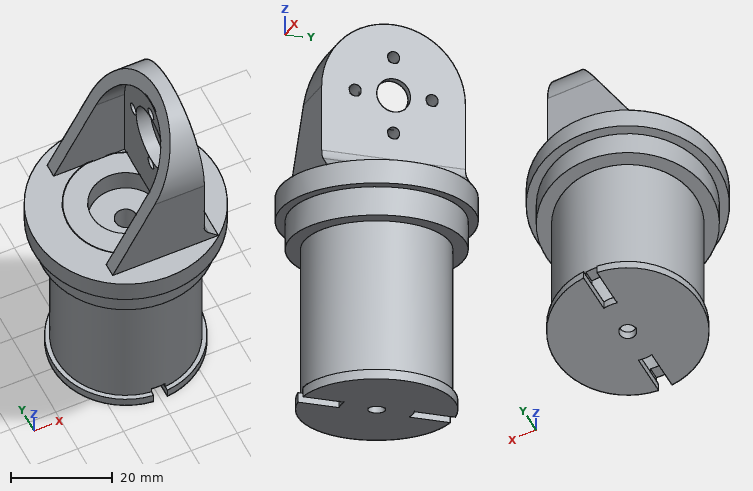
import cadquery as cq
import math

total_height = 78.0
cap_thickness = 2.0
cap_diameter = 32.0
tube_diameter = 30.0
bore_diameter = 25.0
flange_diameter = 40.0
flange_thickness = 5.0
collar_diameter = 36.0
collar_height = 6.0

bracket_height = 33.0
bracket_wall = 3.0
bracket_radius = tube_diameter / 2
bracket_front_x = -10.0
bracket_tip_x = 6.9
bracket_back_x = 10.0
plate_thickness = 4.5
heel_size = 3.05
heel_fillet_radius = 3.0

shaft_hole_diameter = 7.0
recess_diameter = 13.5
recess_depth = 3.0
screw_hole_diameter = 2.5
screw_circle_radius = 8.0
screw_count = 4

insert_diameter = 24.8
insert_height = flange_thickness + collar_height
pocket_diameter = 15.0
pocket_depth = 5.0
insert_hole_diameter = 4.5

cap_hole_diameter = 3.5
cap_hub_diameter = 15.0
slot_width = 3.0
slot_top = 3.0

flange_top = total_height - bracket_height
collar_top = flange_top - flange_thickness
collar_bottom = collar_top - collar_height
shaft_z = total_height - bracket_radius
plate_front_x = bracket_back_x - plate_thickness


def cylinder(diameter, bottom, height):
    """Upright cylinder on the Z axis."""
    return cq.Workplane("XY").workplane(offset=bottom).circle(diameter / 2).extrude(height)


def arch(radius, start_x, end_x):
    """Round-topped block along X, standing on the flange and centred on the shaft axis."""
    return (
        cq.Workplane("YZ").workplane(offset=start_x)
        .moveTo(-radius, flange_top)
        .lineTo(-radius, shaft_z)
        .threePointArc((0, shaft_z + radius), (radius, shaft_z))
        .lineTo(radius, flange_top)
        .close()
        .extrude(end_x - start_x)
    )


def shaft_side_hole(diameter, y, z, start_x, end_x):
    """Cylinder along X used to cut the back plate."""
    return (
        cq.Workplane("YZ").workplane(offset=start_x)
        .center(y, z).circle(diameter / 2).extrude(end_x - start_x)
    )


def key_slot():
    """Bar along Y, open at the bottom, that cuts the key slots on both sides."""
    return cq.Workplane("XY").box(
        slot_width, 2 * cap_diameter, slot_top, centered=(True, True, False)
    )


def make_bracket():
    heel_x = bracket_back_x + heel_size
    side_profile = (
        cq.Workplane("XZ")
        .moveTo(bracket_front_x, flange_top)
        .lineTo(bracket_tip_x, total_height)
        .lineTo(bracket_back_x, total_height)
        .lineTo(bracket_back_x, flange_top + heel_size)
        .lineTo(heel_x, flange_top)
        .close()
        .extrude(bracket_radius, both=True)
    )
    heel_corner = cq.selectors.NearestToPointSelector((bracket_back_x, 0, flange_top + heel_size))
    side_profile = side_profile.edges("|Y").edges(heel_corner).fillet(heel_fillet_radius)
    bracket = arch(bracket_radius, bracket_front_x, heel_x).intersect(side_profile)
    bracket = bracket.cut(arch(bracket_radius - bracket_wall, bracket_front_x, plate_front_x))

    bracket = bracket.cut(
        shaft_side_hole(shaft_hole_diameter, 0, shaft_z, plate_front_x, bracket_back_x)
    )
    bracket = bracket.cut(
        shaft_side_hole(recess_diameter, 0, shaft_z, plate_front_x, plate_front_x + recess_depth)
    )
    for index in range(screw_count):
        angle = 2 * math.pi * index / screw_count
        y = screw_circle_radius * math.cos(angle)
        z = shaft_z + screw_circle_radius * math.sin(angle)
        bracket = bracket.cut(
            shaft_side_hole(screw_hole_diameter, y, z, plate_front_x, bracket_back_x)
        )
    return bracket


def make_housing():
    """Slotted tube with collar, flange and bracket."""
    tube = cylinder(tube_diameter, cap_thickness, collar_bottom - cap_thickness)
    collar = cylinder(collar_diameter, collar_bottom, collar_height)
    flange = cylinder(flange_diameter, collar_top, flange_thickness)
    bore = cylinder(bore_diameter, cap_thickness, flange_top - cap_thickness)
    body = tube.union(collar).union(flange).cut(bore).cut(key_slot())
    return body.union(make_bracket())


def make_insert():
    """Round plug, flush with the flange, with a pocket and a central hole."""
    bottom = flange_top - insert_height
    plug = cylinder(insert_diameter, bottom, insert_height)
    pocket = cylinder(pocket_diameter, flange_top - pocket_depth, pocket_depth)
    hole = cylinder(insert_hole_diameter, bottom, insert_height)
    return plug.cut(pocket).cut(hole)


def make_cap():
    """Bottom disc whose key slots stop at a round central hub."""
    disc = cylinder(cap_diameter, 0, cap_thickness).cut(key_slot())
    hub = cylinder(cap_hub_diameter, 0, cap_thickness)
    hole = cylinder(cap_hole_diameter, 0, cap_thickness)
    return disc.union(hub).cut(hole)


housing = make_housing()
insert = make_insert()
cap = make_cap()

result = cq.Compound.makeCompound([housing.val(), insert.val(), cap.val()])